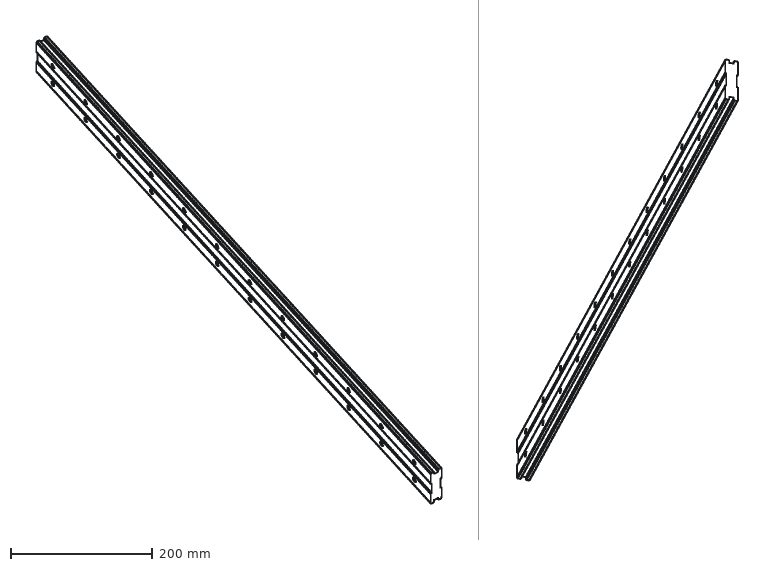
import cadquery as cq

length = 960.0
thickness = 19.0
height = 69.0

channel_depth = 2.0
channel_height = 20.0

groove_width = 7.0
groove_depth = 5.0

edge_chamfer = 1.4

hole_count = 12
hole_pitch = length / hole_count
hole_row_spacing = hole_pitch / 2
hole_diameter = 7.1


def make_bar():
    return cq.Workplane("XY").box(length, thickness, height)


def cut_side_channels(bar):
    channel = cq.Workplane("XY").box(length, channel_depth, channel_height)
    offset = (thickness - channel_depth) / 2
    for side in (-1, 1):
        bar = bar.cut(channel.translate((0, side * offset, 0)))
    return bar


def cut_edge_grooves(bar):
    groove = cq.Workplane("XY").box(length, groove_width, groove_depth)
    offset = (height - groove_depth) / 2
    for side in (-1, 1):
        bar = bar.cut(groove.translate((0, 0, side * offset)))
    return bar


def chamfer_long_edges(bar):
    return bar.edges("|X").edges(">Y or <Y or >Z or <Z").chamfer(edge_chamfer)


def cut_holes(bar):
    holes = (
        cq.Workplane("XZ")
        .rarray(hole_pitch, hole_row_spacing, hole_count, 2)
        .circle(hole_diameter / 2)
        .extrude(thickness / 2, both=True)
    )
    return bar.cut(holes)


bar = make_bar()
bar = cut_side_channels(bar)
bar = cut_edge_grooves(bar)
bar = chamfer_long_edges(bar)
result = cut_holes(bar)